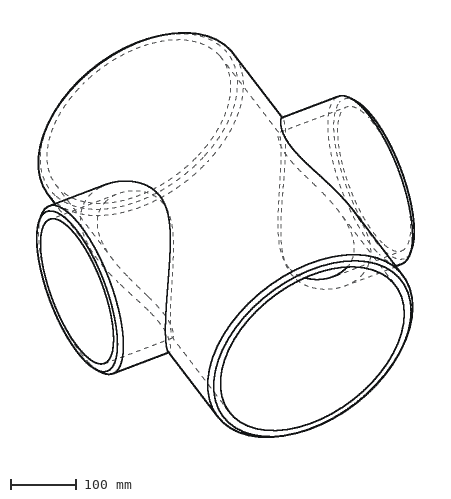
import cadquery as cq

main_length = 559.0
main_diameter = 355.5
main_bore = 318.5
branch_length = 514.0
branch_diameter = 274.0
branch_bore = 235.0
bevel_depth = 6.5
bevel_width = 6.5


def centred_cylinder(plane, diameter, length):
    """Solid cylinder centred on the origin, along the normal of the plane."""
    return cq.Workplane(plane).circle(diameter / 2).extrude(length / 2, both=True)


def bevelled_cylinder(plane, diameter, length):
    """Centred cylinder with the outer edge of both ends bevelled."""
    cylinder = centred_cylinder(plane, diameter, length)
    return cylinder.edges("%CIRCLE").chamfer(bevel_depth, bevel_width)


main_pipe = bevelled_cylinder("YZ", main_diameter, main_length)
branch_pipe = bevelled_cylinder("XZ", branch_diameter, branch_length)
body = main_pipe.union(branch_pipe)

main_hole = centred_cylinder("YZ", main_bore, main_length)
branch_hole = centred_cylinder("XZ", branch_bore, branch_length)
result = body.cut(main_hole).cut(branch_hole)